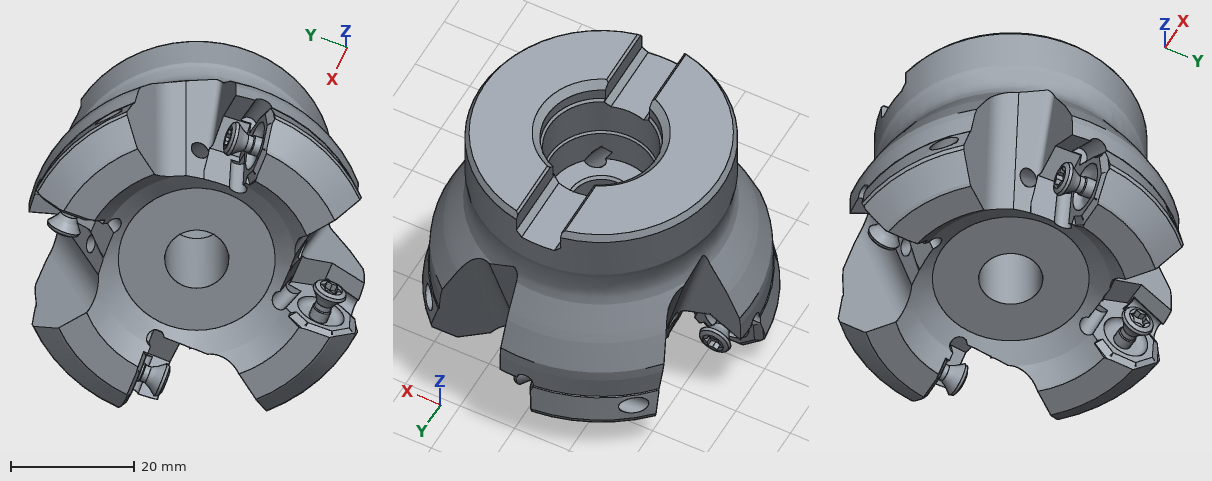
import cadquery as cq
import math

height = 43.3
tip_radius = 29.0
teeth = 4
overrun = 11.55

top_chamfer = 0.7
top_chamfer_height = 1.15
flange_radius = 22.15
flange_bottom = 33.8
neck_top_radius = 21.9
neck_top = 32.8
neck_radius = 21.55
neck_waist = 30.05
neck_bottom_radius = 22.35
neck_bottom = 26.45
shoulder_top_radius = 24.85
shoulder_top = 21.95
shoulder_bottom_radius = 25.6
shoulder_bottom = 20.5
skirt_top_radius = 27.75
skirt_top = 15.6
skirt_radius = 27.9
skirt_bend = 13.8
rim_top = 9.8
rim_step = 0.2
tip_height = 5.1
bevel_top = 4.3
tip_setback = 0.25
bottom_chamfer = 0.3

bore_radius = 9.55
bore_floor = 25.4
mouth_radius = 9.95
mouth_depth = 3.35
mouth_chamfer = 1.3
lower_bore_radius = 9.2
lower_bore_depth = 11.1
through_radius = 5.2
through_chamfer = 0.45
recess_radius = 18.85
recess_knee_radius = 16.2
recess_knee = 3.45
recess_floor_radius = 12.7
recess_depth = 5.8

slot_width = 8.1
slot_depth = 4.85
slot_floor_chamfer = 1.05
slot_edge_chamfer = 0.4

face_x = -3.95
flute_floor_y = -13.3
flute_top = 32.95
flute_lean_x = -math.tan(math.radians(6.0))
flute_lean_y = -math.tan(math.radians(15.1))
trough_start_x = -7.05
trough_end = (-12.5, -13.85)
back_wall_angle = 37.5
back_wall_length = 34.7
flute_corner_radius = 1.15

axial_tilt = 5.5
seat_x = 1.5
seat_radius_from_axis = 22.2
seat_height = 6.05
pocket_depth = 6.05
wall_angle = 31.0
wall_outer = (5.65, 4.55)
wall_inner_u = -0.1
pocket_inner_top = (-5.45, 6.05)
pocket_inner_bottom = (-9.75, -7.8)
groove_radius = 1.45
groove_lift = 0.35
groove_offset = 0.5
seat_sides = 8
seat_apothem = 5.0
lip_depth = 0.75
lip_taper = 60.0

screw_hole_radius = 1.55
screw_hole_length = 28.9
bowl_radius = 4.05
bowl_depth = 1.3
head_top = 4.75
head_rim = 3.9
head_base = 2.6
neck_height = 1.7
thread_top = 0.6
head_radius = 2.85
face_radius = 1.9
face_slope = 0.35
head_top_radius = 2.65
head_base_radius = 1.85
screw_neck_radius = 1.4
thread_length = 11.55
socket_outer_radius = 1.75
socket_inner_radius = 1.2
socket_depth = 1.15
socket_lobes = 6
socket_turn = -5.0

coolant_radius = 1.45
coolant_inlet = (-7.35, -4.95, bore_floor)
coolant_outlet = (-5.8, -16.2, 10.7)

seat_plane = cq.Plane(
    origin=(seat_x, -seat_radius_from_axis, seat_height),
    xDir=(0, -1, 0),
    normal=(-math.cos(math.radians(axial_tilt)), 0, -math.sin(math.radians(axial_tilt))),
)


def around_axis(solid, index):
    """Turn a shape from the -Y tooth to another tooth."""
    return solid.rotate((0, 0, 0), (0, 0, 1), index * 360.0 / teeth)


def make_blank():
    """Revolve the outer shape, bore and underside recess."""
    rim_radius = skirt_radius + rim_step
    bevel_radius = tip_radius - tip_setback
    bottom_radius = bevel_radius - bevel_top
    profile = (
        cq.Workplane("XZ")
        .moveTo(through_radius, recess_depth)
        .lineTo(recess_floor_radius, recess_depth)
        .lineTo(recess_knee_radius, recess_knee)
        .lineTo(recess_radius, bottom_chamfer)
        .lineTo(recess_radius + bottom_chamfer, 0)
        .lineTo(bottom_radius - bottom_chamfer / 2, 0)
        .lineTo(bottom_radius + bottom_chamfer, bottom_chamfer)
        .lineTo(bevel_radius, bevel_top)
        .lineTo(tip_radius, tip_height)
        .lineTo(rim_radius, rim_top - rim_step)
        .lineTo(skirt_radius, rim_top)
        .lineTo(skirt_radius, skirt_bend)
        .lineTo(skirt_top_radius, skirt_top)
        .lineTo(shoulder_bottom_radius, shoulder_bottom)
        .lineTo(shoulder_top_radius, shoulder_top)
        .lineTo(neck_bottom_radius, neck_bottom)
        .threePointArc((neck_radius, neck_waist), (neck_top_radius, neck_top))
        .lineTo(flange_radius, flange_bottom)
        .lineTo(flange_radius, height - top_chamfer_height)
        .lineTo(flange_radius - top_chamfer, height)
        .lineTo(mouth_radius + mouth_chamfer, height)
        .lineTo(mouth_radius, height - mouth_chamfer)
        .lineTo(mouth_radius, height - mouth_depth)
        .lineTo(bore_radius, height - mouth_depth - (mouth_radius - bore_radius))
        .lineTo(bore_radius, height - lower_bore_depth)
        .lineTo(lower_bore_radius, height - lower_bore_depth - (bore_radius - lower_bore_radius))
        .lineTo(lower_bore_radius, bore_floor)
        .lineTo(through_radius + through_chamfer, bore_floor)
        .lineTo(through_radius, bore_floor - through_chamfer)
        .close()
    )
    return profile.revolve(360, (0, 0, 0), (0, 1, 0))


def make_drive_slot():
    """Slot along Y with chamfered floor corners and top edges."""
    half = slot_width / 2
    floor = height - slot_depth
    half_outline = [
        (half - slot_floor_chamfer, floor),
        (half, floor + slot_floor_chamfer),
        (half, height - slot_edge_chamfer),
        (half + slot_edge_chamfer, height),
    ]
    mirrored = [(-x, z) for x, z in reversed(half_outline)]
    return cq.Workplane("XZ").polyline(half_outline + mirrored).close().extrude(tip_radius, both=True)


def make_flute():
    """Leaning flute: flat floor, round trough and sloping back wall, cut off at the tooth face."""
    lean_plane = cq.Plane(
        origin=(0, 0, 0), xDir=(1, 0, -flute_lean_x), normal=(flute_lean_x, flute_lean_y, 1)
    )

    def across_flute(x, y):
        """Follow the lean from a point at Z = 0 to the plane square to the flute."""
        local = lean_plane.toLocalCoords(cq.Vector(x, y, 0))
        return (local.x, local.y)

    angle = math.radians(back_wall_angle)
    wall_end = (
        trough_end[0] - back_wall_length * math.cos(angle),
        trough_end[1] - back_wall_length * math.sin(angle),
    )
    leaning = (
        cq.Workplane(lean_plane)
        .moveTo(*across_flute(*wall_end))
        .lineTo(*across_flute(*trough_end))
        .tangentArcPoint(across_flute(trough_start_x, flute_floor_y), relative=False)
        .lineTo(*across_flute(overrun, flute_floor_y))
        .lineTo(*across_flute(overrun, wall_end[1]))
        .close()
        .extrude(2 * flute_top, both=True)
    )
    reach = 4 * tip_radius
    before_face = cq.Workplane("XY").box(reach, reach, reach).translate(
        (face_x - reach / 2, 0, flute_top - reach / 2)
    )
    corner_z = flute_top / 2
    corner = (face_x, flute_floor_y + flute_lean_y * corner_z, corner_z)
    flute = leaning.intersect(before_face)
    return flute.edges(cq.NearestToPointSelector(corner)).fillet(flute_corner_radius)


def wall_height(u):
    """Height of the upper pocket wall at distance u outward from the screw."""
    return wall_outer[1] - (u - wall_outer[0]) * math.tan(math.radians(wall_angle))


def make_pocket():
    """Open recess over the insert seat."""
    outline = [
        (overrun, wall_height(overrun)),
        (wall_inner_u, wall_height(wall_inner_u)),
        pocket_inner_top,
        pocket_inner_bottom,
        (overrun, pocket_inner_bottom[1]),
    ]
    return cq.Workplane(seat_plane).polyline(outline).close().extrude(pocket_depth)


def make_corner_groove(start_point, end_point):
    """Round relief groove along the foot of a pocket wall, between two points on the seat."""
    start = seat_plane.toWorldCoords((*start_point, groove_lift))
    end = seat_plane.toWorldCoords((*end_point, groove_lift))
    axis = end - start
    return cq.Workplane(cq.Solid.makeCylinder(groove_radius, axis.Length, start, axis))


def make_upper_groove():
    start = (wall_inner_u, wall_height(wall_inner_u) - groove_offset)
    end = (overrun, wall_height(overrun) - groove_offset)
    return make_corner_groove(start, end)


def make_inner_groove():
    start = (pocket_inner_top[0] + groove_offset, pocket_inner_top[1] - groove_radius)
    end = (pocket_inner_bottom[0] + groove_offset, pocket_inner_bottom[1])
    return make_corner_groove(start, end)


def make_lip_relief():
    """Material sloping away outside the flat octagonal seat, on its outer and lower sides."""
    corner_radius = seat_apothem / math.cos(math.pi / seat_sides)
    octagon = []
    for corner in range(seat_sides):
        angle = (corner + 0.5) * 2 * math.pi / seat_sides
        octagon.append((corner_radius * math.cos(angle), corner_radius * math.sin(angle)))
    kept = cq.Workplane(seat_plane).polyline(octagon).close().extrude(-lip_depth, taper=-lip_taper)
    slab_outline = [
        (overrun, pocket_inner_bottom[1]),
        (overrun, wall_height(overrun)),
        (seat_apothem, wall_height(seat_apothem)),
        pocket_inner_bottom,
    ]
    slab = cq.Workplane(seat_plane).polyline(slab_outline).close().extrude(-lip_depth)
    return slab.cut(kept)


def on_screw_axis():
    """Sketch plane whose X is the radius and Y the height above the seat along the screw axis."""
    return cq.Workplane(
        cq.Plane(origin=seat_plane.origin, xDir=seat_plane.xDir, normal=-seat_plane.yDir)
    )


def make_screw_hole():
    """Threaded hole right through the tooth, with a round-cornered bowl in the seat."""
    bowl_floor_radius = bowl_radius - bowl_depth
    bowl_middle = bowl_depth * math.sqrt(0.5)
    profile = (
        on_screw_axis()
        .lineTo(bowl_radius, 0)
        .threePointArc(
            (bowl_floor_radius + bowl_middle, -bowl_middle),
            (bowl_floor_radius, -bowl_depth),
        )
        .lineTo(screw_hole_radius, -bowl_depth)
        .lineTo(screw_hole_radius, -screw_hole_length)
        .lineTo(0, -screw_hole_length)
        .close()
    )
    return profile.revolve(360, (0, 0, 0), (0, 1, 0))


def make_coolant_hole():
    """Slanted hole from the bore floor to the flute floor."""
    inlet = cq.Vector(*coolant_inlet)
    axis = cq.Vector(*coolant_outlet) - inlet
    extra = axis.normalized() * (2 * coolant_radius)
    length = axis.Length + 2 * extra.Length
    return cq.Workplane(cq.Solid.makeCylinder(coolant_radius, length, inlet - extra, axis))


def make_cutter_body():
    body = make_blank().cut(make_drive_slot())
    cutters = [
        make_flute(),
        make_pocket(),
        make_upper_groove(),
        make_inner_groove(),
        make_lip_relief(),
        make_screw_hole(),
        make_coolant_hole(),
    ]
    for index in range(teeth):
        for cutter in cutters:
            body = body.cut(around_axis(cutter, index))
    return body


def make_screw():
    """Clamping screw with a conical head and a star socket."""
    profile = [
        (0, head_top),
        (face_radius, head_top),
        (head_top_radius, head_top - face_slope),
        (head_radius, head_rim),
        (head_base_radius, head_base),
        (screw_neck_radius, neck_height),
        (screw_neck_radius, thread_top + screw_hole_radius - screw_neck_radius),
        (screw_hole_radius, thread_top),
        (screw_hole_radius, -thread_length),
        (0, -thread_length),
    ]
    blank = on_screw_axis().polyline(profile).close().revolve(360, (0, 0, 0), (0, 1, 0))
    star = []
    for corner in range(2 * socket_lobes):
        radius = socket_outer_radius if corner % 2 == 0 else socket_inner_radius
        angle = corner * math.pi / socket_lobes
        star.append((radius * math.cos(angle), radius * math.sin(angle)))
    head_plane = cq.Workplane(seat_plane).workplane(offset=head_top)
    turned_plane = head_plane.transformed(rotate=(0, 0, socket_turn))
    socket = turned_plane.polyline(star).close().extrude(-socket_depth)
    return blank.cut(socket)


cutter_body = make_cutter_body()
screw = make_screw()
screws = [around_axis(screw, index) for index in range(teeth)]

result = cq.Compound.makeCompound([cutter_body.val(), *[copy.val() for copy in screws]])